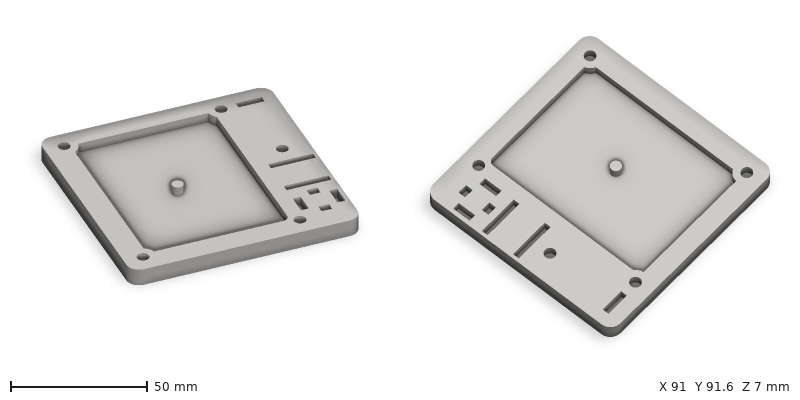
import cadquery as cq

PLATE_X = 91.0
PLATE_Y = 91.59
PLATE_Z = 7.0
PLATE_CORNER_RADIUS = 5.0

RECESS_DEPTH = 4.0
RECESS_FLOOR_Z = PLATE_Z - RECESS_DEPTH

HOLE_DIAMETER = 4.7
CORNER_HOLE_X = 38.1
CORNER_HOLE_REAR_Y = 24.0
CORNER_HOLE_FRONT_Y = -38.25
SINGLE_HOLE = (-6.3, 35.2)

POCKET_LEFT = -37.5
POCKET_RIGHT = 36.5
POCKET_FRONT = -36.0
POCKET_REAR = 20.6
POCKET_CORNER_RADIUS = 2.5

LAND_RADIUS = 5.3

PIN_DIAMETER = 4.5
PIN_CENTER = (0.0, -8.9)

SLOT_ROW_Y = 35.5
NARROW_SLOT_WIDTH = 2.8
SHORT_SLOT_LENGTH = 10.3
SHORT_SLOT_X = -38.1
LONG_SLOT_LENGTH = 17.8
LONG_SLOT_XS = (2.3, 17.4)

SIDE_OPENING_SIZE = (3.2, 4.2)
SIDE_OPENING_XS = (23.2, 34.5)
END_OPENING_SIZE = (8.0, 3.1)
END_OPENING_CENTERS = ((29.1, 42.5), (28.7, 28.2))

FRONT_LEFT_HOLE = (-CORNER_HOLE_X, CORNER_HOLE_FRONT_Y)
FRONT_RIGHT_HOLE = (CORNER_HOLE_X, CORNER_HOLE_FRONT_Y)
REAR_LEFT_HOLE = (-CORNER_HOLE_X, CORNER_HOLE_REAR_Y)
REAR_RIGHT_HOLE = (CORNER_HOLE_X, CORNER_HOLE_REAR_Y)
LAND_CENTERS = [FRONT_LEFT_HOLE, FRONT_RIGHT_HOLE, REAR_LEFT_HOLE]
HOLE_CENTERS = LAND_CENTERS + [REAR_RIGHT_HOLE, SINGLE_HOLE]


def make_plate():
    plate = cq.Workplane("XY").box(PLATE_X, PLATE_Y, PLATE_Z, centered=(True, True, False))
    return plate.edges("|Z").fillet(PLATE_CORNER_RADIUS)


def recess_floor():
    return cq.Workplane("XY").workplane(offset=RECESS_FLOOR_Z)


def make_pocket():
    """Volume removed for the pocket, with the lands and the pin left out of it."""
    floor = recess_floor()
    center_x = (POCKET_LEFT + POCKET_RIGHT) / 2
    center_y = (POCKET_FRONT + POCKET_REAR) / 2
    pocket = (
        floor.center(center_x, center_y)
        .rect(POCKET_RIGHT - POCKET_LEFT, POCKET_REAR - POCKET_FRONT)
        .extrude(RECESS_DEPTH)
        .edges("|Z and >X and >Y")
        .fillet(POCKET_CORNER_RADIUS)
    )
    lands = floor.pushPoints(LAND_CENTERS).circle(LAND_RADIUS).extrude(RECESS_DEPTH)
    pin = floor.pushPoints([PIN_CENTER]).circle(PIN_DIAMETER / 2).extrude(RECESS_DEPTH)
    return pocket.cut(lands).cut(pin)


def make_holes():
    return recess_floor().pushPoints(HOLE_CENTERS).circle(HOLE_DIAMETER / 2).extrude(RECESS_DEPTH)


def make_openings(centers, size_x, size_y):
    return recess_floor().pushPoints(centers).rect(size_x, size_y).extrude(RECESS_DEPTH)


def on_slot_row(xs):
    return [(x, SLOT_ROW_Y) for x in xs]


result = (
    make_plate()
    .cut(make_pocket())
    .cut(make_holes())
    .cut(make_openings(on_slot_row([SHORT_SLOT_X]), NARROW_SLOT_WIDTH, SHORT_SLOT_LENGTH))
    .cut(make_openings(on_slot_row(LONG_SLOT_XS), NARROW_SLOT_WIDTH, LONG_SLOT_LENGTH))
    .cut(make_openings(on_slot_row(SIDE_OPENING_XS), *SIDE_OPENING_SIZE))
    .cut(make_openings(END_OPENING_CENTERS, *END_OPENING_SIZE))
)